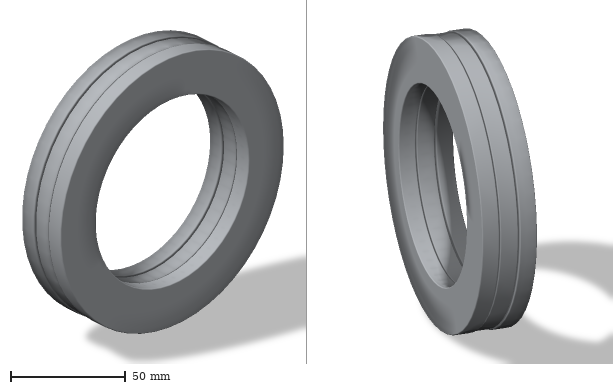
import cadquery as cq

WASHER_DIAMETER = 132.5
WASHER_BORE = 90.5
WASHER_THICKNESS = 8.0
WASHER_FILLET = 0.5
CAGE_DIAMETER = 131.5
CAGE_BORE = 91.5
CAGE_THICKNESS = 8.2
CAGE_FILLET = 0.4
RACE_GAP = 9.5


def rounded_ring(start_x, thickness, diameter, bore, fillet_radius):
    """Flat ring around X with all four circular edges rounded."""
    ring = (
        cq.Workplane("YZ", origin=(start_x, 0, 0))
        .circle(diameter / 2)
        .circle(bore / 2)
        .extrude(thickness)
    )
    return ring.edges("%CIRCLE").fillet(fillet_radius)


def make_washer(start_x):
    return rounded_ring(start_x, WASHER_THICKNESS, WASHER_DIAMETER, WASHER_BORE, WASHER_FILLET)


def make_cage():
    """Ring floating midway between the washers, with a small clearance on each side."""
    return rounded_ring(-CAGE_THICKNESS / 2, CAGE_THICKNESS, CAGE_DIAMETER, CAGE_BORE, CAGE_FILLET)


washer_starts = [-RACE_GAP / 2 - WASHER_THICKNESS, RACE_GAP / 2]
washers = [make_washer(start_x) for start_x in washer_starts]
cage = make_cage()

result = cq.Compound.makeCompound([*[washer.val() for washer in washers], cage.val()])